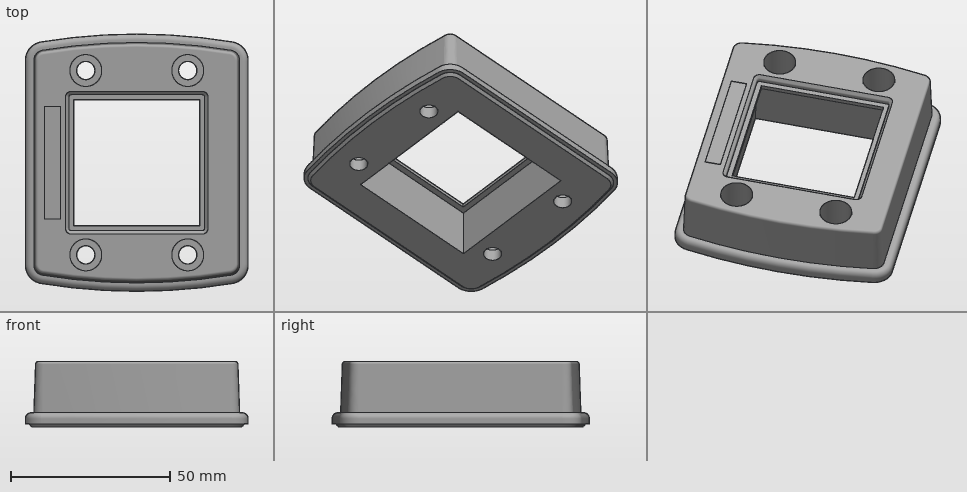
import cadquery as cq
import math

length_y = 80.9
width_x = 70.05
end_arc_radius = 183.65
corner_radius = 6.0
height = 20.6

flange_top = 4.5
flange_round = 1.95
foot_height = 1.0
foot_inset = 1.2
foot_chamfer = 0.9

body_inset = 2.7
body_taper_inset = 0.6
body_top_round = 1.0

window_side = 39.5
lip_thickness = 1.4
well_base_side = 44.5
well_top_side = 43.3
rim_side = 42.7
rim_depth = 2.0
rim_bevel = 1.05
rim_bevel_angle = 45.0
rim_bevel_round = 0.8
rim_corner_radius = 0.8

screw_pitch_x = 32.0
screw_pitch_y = 57.9
screw_diameter = 5.7
counterbore_diameter = 10.0
counterbore_floor = flange_top

label_width = 4.9
label_length = 35.35
label_center_x = -26.45
label_depth = 0.2


def plan_outline(inset, z):
    """Closed plan outline at height z, offset inward from the flange edge."""
    corner_r = corner_radius - inset
    end_r = end_arc_radius - inset
    half_x = width_x / 2 - inset
    half_y = length_y / 2 - inset
    end_center_y = half_y - end_r
    corner_x = half_x - corner_r

    lean = math.asin(corner_x / (end_r - corner_r))
    corner_y = end_center_y + (end_r - corner_r) * math.cos(lean)
    tangent_x = end_r * math.sin(lean)
    tangent_y = end_center_y + end_r * math.cos(lean)
    middle = (math.pi / 2 - lean) / 2
    middle_x = corner_x + corner_r * math.cos(middle)
    middle_y = corner_y + corner_r * math.sin(middle)

    return (
        cq.Workplane("XY", origin=(0, 0, z))
        .moveTo(half_x, -corner_y)
        .lineTo(half_x, corner_y)
        .threePointArc((middle_x, middle_y), (tangent_x, tangent_y))
        .threePointArc((0, half_y), (-tangent_x, tangent_y))
        .threePointArc((-middle_x, middle_y), (-half_x, corner_y))
        .lineTo(-half_x, -corner_y)
        .threePointArc((-middle_x, -middle_y), (-tangent_x, -tangent_y))
        .threePointArc((0, -half_y), (tangent_x, -tangent_y))
        .threePointArc((middle_x, -middle_y), (half_x, -corner_y))
        .close()
    )


def make_flange():
    foot = plan_outline(foot_inset, 0).extrude(foot_height)
    foot = foot.faces("<Z").chamfer(foot_chamfer)
    plate = plan_outline(0, foot_height).extrude(flange_top - foot_height)
    plate = plate.faces(">Z").edges().fillet(flange_round)
    return plate.union(foot)


def make_body():
    body_height = height - flange_top
    taper = math.degrees(math.atan(body_taper_inset / body_height))
    body = plan_outline(body_inset, flange_top).extrude(body_height, taper=taper)
    return body.faces(">Z").edges().fillet(body_top_round)


def make_rim():
    rim_floor = height - rim_depth
    recess = (
        cq.Workplane("XY", origin=(0, 0, rim_floor))
        .rect(rim_side, rim_side)
        .extrude(rim_depth)
        .edges("|Z")
        .fillet(rim_corner_radius)
    )
    mouth_side = rim_side + 2 * rim_bevel
    bevel = (
        cq.Workplane("XY", origin=(0, 0, height))
        .sketch()
        .rect(mouth_side, mouth_side)
        .vertices()
        .fillet(rim_corner_radius + rim_bevel)
        .finalize()
        .extrude(-rim_bevel, taper=rim_bevel_angle)
    )
    bevel_bottom = height - rim_bevel
    bevel_edge_zone = cq.selectors.BoxSelector(
        (-mouth_side, -mouth_side, bevel_bottom - rim_bevel / 2),
        (mouth_side, mouth_side, bevel_bottom + rim_bevel / 4),
    )
    return recess.union(bevel).edges("#Z").edges(bevel_edge_zone).fillet(rim_bevel_round)


def make_window():
    lip_bottom = height - rim_depth - lip_thickness
    lip_opening = (
        cq.Workplane("XY", origin=(0, 0, lip_bottom))
        .rect(window_side, window_side)
        .extrude(rim_depth + lip_thickness)
    )
    well = (
        cq.Workplane("XY")
        .rect(well_base_side, well_base_side)
        .workplane(offset=lip_bottom)
        .rect(well_top_side, well_top_side)
        .loft(ruled=True)
    )
    return lip_opening.union(well).union(make_rim())


def screw_cylinders(diameter, bottom_z):
    """Four cylinders at the screw positions, reaching up to the top face."""
    return (
        cq.Workplane("XY", origin=(0, 0, bottom_z))
        .rect(screw_pitch_x, screw_pitch_y, forConstruction=True)
        .vertices()
        .circle(diameter / 2)
        .extrude(height - bottom_z)
    )


def make_screw_holes():
    bores = screw_cylinders(screw_diameter, 0)
    counterbores = screw_cylinders(counterbore_diameter, counterbore_floor)
    return bores.union(counterbores)


def make_label_recess():
    return (
        cq.Workplane("XY", origin=(label_center_x, 0, height - label_depth))
        .rect(label_width, label_length)
        .extrude(label_depth)
    )


result = make_flange().union(make_body())
result = result.cut(make_window()).cut(make_screw_holes()).cut(make_label_recess())